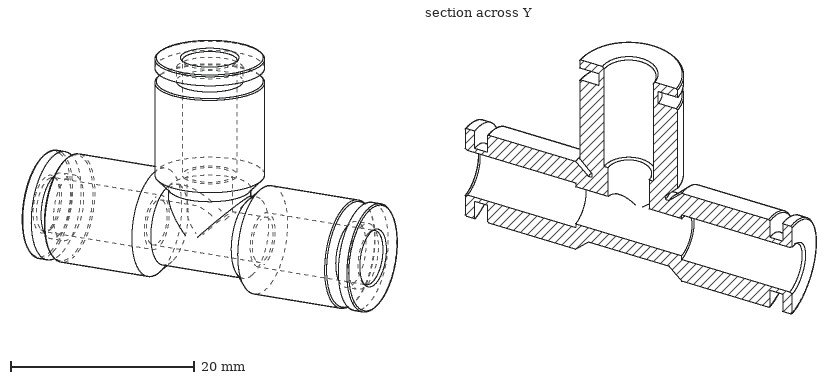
import cadquery as cq

port_reach = 20.0
outer_diameter = 12.0
neck_diameter = 9.0
stem_diameter = 7.3
socket_diameter = 6.0
passage_diameter = 5.0

flange_thickness = 1.2
stem_gap = 1.5
body_length = 10.8
shoulder_length = 1.55
edge_chamfer = 0.15
mouth_chamfer_width = 0.2
mouth_chamfer_depth = 0.3

outer_radius = outer_diameter / 2
neck_radius = neck_diameter / 2
stem_radius = stem_diameter / 2
socket_radius = socket_diameter / 2
passage_radius = passage_diameter / 2

flange_inner = port_reach - flange_thickness
body_end = flange_inner - stem_gap
cone_start = body_end - body_length
cone_end = cone_start - shoulder_length
socket_floor = cone_start


def revolve_profile(points):
    """Revolve (radius, height) points about the Z axis."""
    return cq.Workplane("XZ").polyline(points).close().revolve(360, (0, 0), (0, 1))


def port_solid():
    """Outer shape of the upward port, starting at the centre of the tee."""
    return revolve_profile([
        (0, 0),
        (neck_radius, 0),
        (neck_radius, cone_end),
        (outer_radius, cone_start),
        (outer_radius, body_end - edge_chamfer),
        (outer_radius - edge_chamfer, body_end),
        (stem_radius, body_end),
        (stem_radius, flange_inner),
        (outer_radius, flange_inner),
        (outer_radius, port_reach - edge_chamfer),
        (outer_radius - edge_chamfer, port_reach),
        (0, port_reach),
    ])


def port_bore():
    """Passage, stepped tube socket and chamfered mouth of the upward port."""
    return revolve_profile([
        (0, 0),
        (passage_radius, 0),
        (passage_radius, socket_floor),
        (socket_radius, socket_floor),
        (socket_radius, port_reach - mouth_chamfer_depth),
        (socket_radius + mouth_chamfer_width, port_reach),
        (0, port_reach),
    ])


def place_on_ports(shape):
    """Join copies of an upward shape pointing along -X, +X and +Z."""
    left = shape.rotate((0, 0, 0), (0, 1, 0), -90)
    right = shape.rotate((0, 0, 0), (0, 1, 0), 90)
    return left.union(right).union(shape)


result = place_on_ports(port_solid()).cut(place_on_ports(port_bore()))